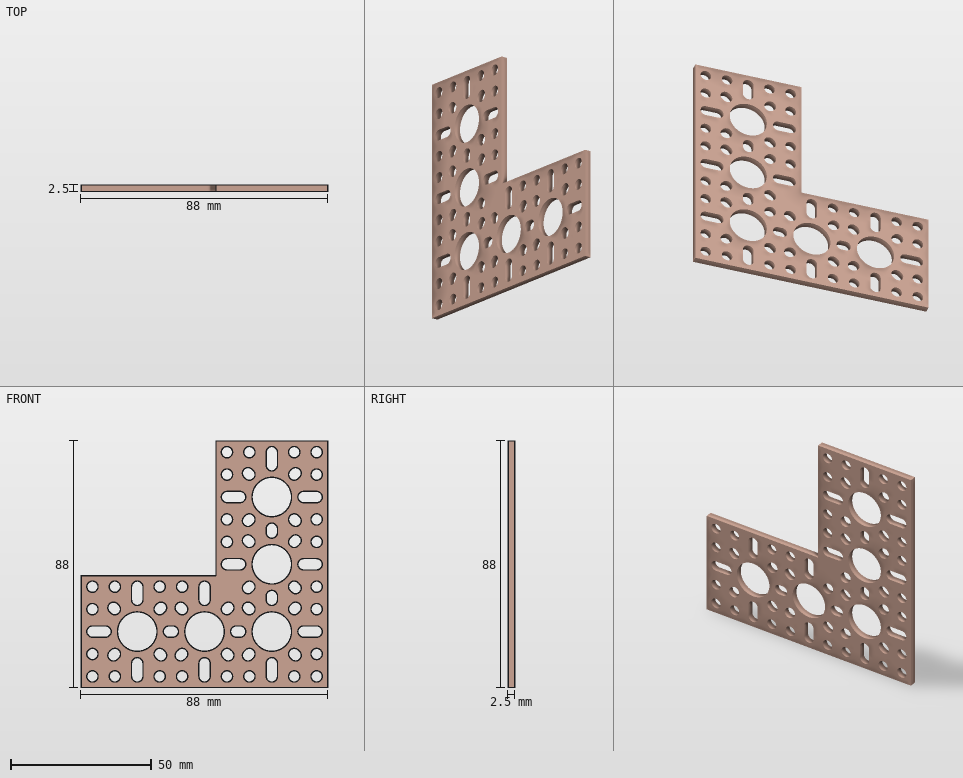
import cadquery as cq
import math

side_length = 88
thickness = 2.5
cells_per_side = 11
cells_across_arm = 5
hole_diameter = 4.0
hub_diameter = 14.0

pitch = side_length / cells_per_side
arm_width = cells_across_arm * pitch
last_cell = cells_per_side - 1

hub_spacing_cells = 3
first_hub_cell = cells_across_arm // 2
hub_lines = range(first_hub_cell, cells_per_side, hub_spacing_cells)
corner_hub_cell = hub_lines[-1]
hubs = [(column, first_hub_cell) for column in hub_lines]
hubs += [(corner_hub_cell, row) for row in hub_lines[1:]]

slot_start_radius = math.sqrt(2) * pitch
diagonal_end_radius = hub_spacing_cells * pitch / 2


def cell_centre(cell):
    return tuple((index + 0.5) * pitch for index in cell)


def in_plate(column, row):
    in_grid = 0 <= column <= last_cell and 0 <= row <= last_cell
    in_bottom_arm = row < cells_across_arm
    in_right_arm = column > last_cell - cells_across_arm
    return in_grid and (in_bottom_arm or in_right_arm)


def on_rim(column, row):
    neighbours = [(column - 1, row), (column + 1, row), (column, row - 1), (column, row + 1)]
    return in_plate(column, row) and not all(in_plate(*cell) for cell in neighbours)


def extrude_through(sketch):
    """Extrude a sketch on the XZ plane through the full plate thickness."""
    return sketch.extrude(-thickness)


def radial_slot(hub, angle, start_radius, end_radius):
    """Slot on a ray from a hub; the radii locate its two end-arc centres."""
    x, z = cell_centre(hub)
    middle_radius = (start_radius + end_radius) / 2
    direction = math.radians(angle)
    middle = (x + middle_radius * math.cos(direction), z + middle_radius * math.sin(direction))
    slot_length = end_radius - start_radius + hole_diameter
    sketch = cq.Workplane("XZ").pushPoints([middle]).slot2D(slot_length, hole_diameter, angle)
    return extrude_through(sketch)


def straight_slots(hub):
    """Slots along X and Z: out to the plate rim, or one short slot between neighbouring hubs."""
    slots = []
    rim_radius = first_hub_cell * pitch
    grid_directions = [(0, 1, 0), (90, 0, 1), (180, -1, 0), (270, 0, -1)]
    for angle, column_step, row_step in grid_directions:
        neighbour = (hub[0] + hub_spacing_cells * column_step, hub[1] + hub_spacing_cells * row_step)
        if neighbour not in hubs:
            slots.append(radial_slot(hub, angle, slot_start_radius, rim_radius))
        elif angle in (0, 90):
            far_radius = hub_spacing_cells * pitch - slot_start_radius
            slots.append(radial_slot(hub, angle, slot_start_radius, far_radius))
    return slots


def diagonal_slots(hub):
    angles = (45, 135, 225, 315)
    return [radial_slot(hub, angle, slot_start_radius, diagonal_end_radius) for angle in angles]


def round_holes(cells, diameter):
    centres = [cell_centre(cell) for cell in cells]
    return extrude_through(cq.Workplane("XZ").pushPoints(centres).circle(diameter / 2))


inner_corner = side_length - arm_width
plate = extrude_through(
    cq.Workplane("XZ")
    .moveTo(0, 0)
    .lineTo(side_length, 0)
    .lineTo(side_length, side_length)
    .lineTo(inner_corner, side_length)
    .lineTo(inner_corner, arm_width)
    .lineTo(0, arm_width)
    .close()
)

rim_cells = [
    (column, row)
    for column in range(cells_per_side)
    for row in range(cells_per_side)
    if on_rim(column, row) and column not in hub_lines and row not in hub_lines
]
plate = plate.cut(round_holes(rim_cells, hole_diameter))

plate = plate.cut(round_holes(hubs, hub_diameter))
for hub in hubs:
    for slot in straight_slots(hub) + diagonal_slots(hub):
        plate = plate.cut(slot)

result = plate